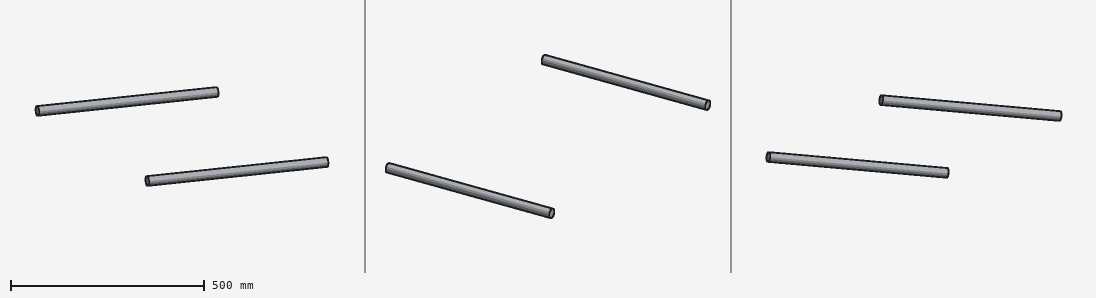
import cadquery as cq

overall_width = 777.5
rod_length = 500.0
rod_diameter = 26.0
rod_spacing = overall_width - rod_diameter


def make_rod(center_x):
    """Plain round rod along Y, its middle on the XZ plane."""
    return (
        cq.Workplane("XZ", origin=(center_x, rod_length / 2, 0))
        .circle(rod_diameter / 2)
        .extrude(rod_length)
    )


rods = []
for side in (-1, 1):
    rods.append(make_rod(side * rod_spacing / 2).val())

result = cq.Compound.makeCompound(rods)